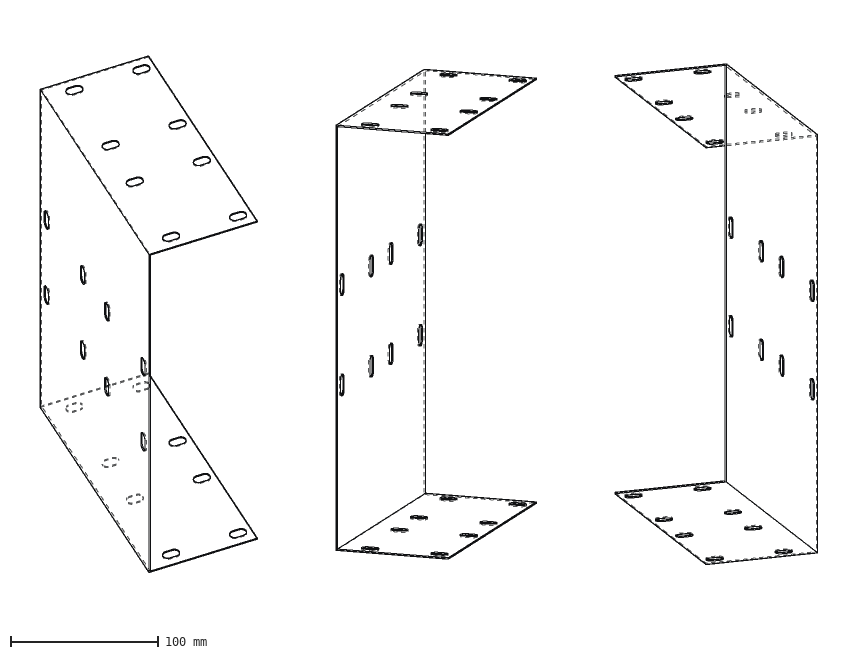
import cadquery as cq

width = 180.0
flange_depth = 80.87
height = 296.74
thickness = 1.0

slot_width = 7.0
outer_column_x = 80.0
inner_column_x = 20.0
column_positions = [-outer_column_x, -inner_column_x, inner_column_x, outer_column_x]

web_slot_length = 15.0
web_row_spacing = 70.0
web_rows = [-web_row_spacing / 2, web_row_spacing / 2]

flange_slot_length = 12.0
flange_first_row_offset = 20.0
flange_row_spacing = 50.0
flange_front_row = thickness + flange_first_row_offset
flange_rows = [flange_front_row, flange_front_row + flange_row_spacing]

slot_angle = 90.0


def make_channel():
    """Square-cornered channel: outer web face on Y = 0, flanges reaching toward +Y."""
    outer = cq.Workplane("XY").box(width, flange_depth, height, centered=(True, False, True))
    inside_height = height - 2 * thickness
    inside = (
        cq.Workplane("XY")
        .box(width, flange_depth, inside_height, centered=(True, False, True))
        .translate((0, thickness, 0))
    )
    return outer.cut(inside)


def make_slots(plane, rows, length, reach):
    """Slot cutters at every column and row, extending by reach to both sides of the plane."""
    centers = [(x, row) for x in column_positions for row in rows]
    return (
        cq.Workplane(plane)
        .pushPoints(centers)
        .slot2D(length, slot_width, slot_angle)
        .extrude(reach, both=True)
    )


web_slots = make_slots("XZ", web_rows, web_slot_length, thickness)
flange_slots = make_slots("XY", flange_rows, flange_slot_length, height / 2)

result = make_channel().cut(web_slots).cut(flange_slots)